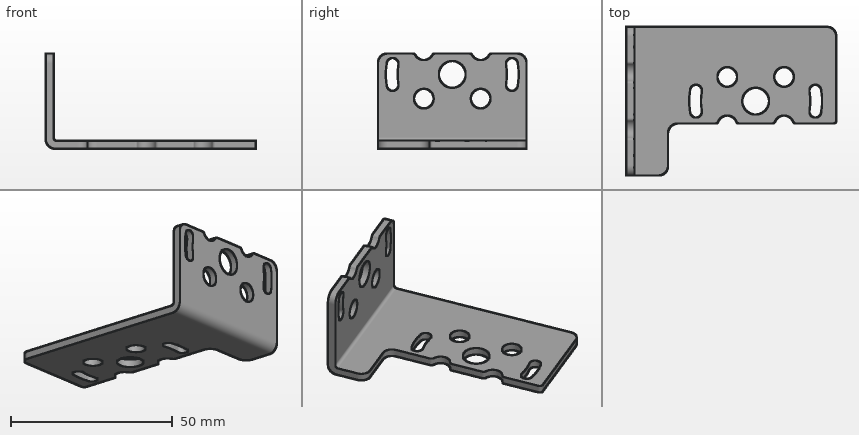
import cadquery as cq
import math

length = 65.0
width = 46.0
height = 29.5
thickness = 2.55
bend_inner_radius = 1.0
bend_outer_radius = 3.0

foot_length = 13.0
arm_edge_offset = 6.95
corner_radius = 3.0
small_corner_radius = 1.0

center_bore_diameter = 8.2
hole_diameter = 6.0
hole_half_spacing = 8.8
hole_offset = 7.5
slot_path_radius = 18.7
slot_width = 3.6
slot_half_angle = math.radians(10)

pattern_x = 40.05
pattern_z = 23.0
cut_depth = 2 * thickness


def polar_point(radius, angle):
    return radius * math.cos(angle), radius * math.sin(angle)


def curved_slot(plane, center_angle):
    """Slot that follows an arc around the plane origin."""
    inner = slot_path_radius - slot_width / 2
    outer = slot_path_radius + slot_width / 2
    start = center_angle - slot_half_angle
    end = center_angle + slot_half_angle
    cap_angle = 2 * math.asin(slot_width / 4 / slot_path_radius)
    return (
        cq.Workplane(plane)
        .moveTo(*polar_point(inner, start))
        .threePointArc(polar_point(inner, center_angle), polar_point(inner, end))
        .threePointArc(polar_point(slot_path_radius, end + cap_angle), polar_point(outer, end))
        .threePointArc(polar_point(outer, center_angle), polar_point(outer, start))
        .threePointArc(polar_point(slot_path_radius, start - cap_angle), polar_point(inner, start))
        .close()
        .extrude(cut_depth / 2, both=True)
    )


def hole_pattern(plane):
    """Cutter for the bore, holes, edge notches and slots; notches lie toward local -Y."""
    small_holes = [
        (x, y)
        for x in (-hole_half_spacing, hole_half_spacing)
        for y in (-hole_offset, hole_offset)
    ]
    cutter = cq.Workplane(plane).circle(center_bore_diameter / 2).extrude(cut_depth / 2, both=True)
    cutter = cutter.union(
        cq.Workplane(plane)
        .pushPoints(small_holes)
        .circle(hole_diameter / 2)
        .extrude(cut_depth / 2, both=True)
    )
    for center_angle in (0, math.pi):
        cutter = cutter.union(curved_slot(plane, center_angle))
    return cutter


def edges_near(body, axis, x_range, y_range, z_range):
    """Edges along an axis whose midpoints lie inside the given ranges."""
    low, high = zip(x_range, y_range, z_range)
    return body.edges("|" + axis).edges(cq.selectors.BoxSelector(low, high))


base = cq.Workplane("XY").box(length, width, thickness, centered=(False, True, False))
wall = cq.Workplane("XY").box(thickness, width, height, centered=(False, True, False))
bracket = base.union(wall)
bracket = bracket.edges("|Y and <X and <Z").fillet(bend_outer_radius)
tolerance = 0.05
bend_corner = (thickness - tolerance, thickness + tolerance)
bracket = edges_near(bracket, "Y", bend_corner, (-width, width), bend_corner).fillet(bend_inner_radius)

arm_cutout = (
    cq.Workplane("XY")
    .box(length, width, thickness, centered=False)
    .translate((foot_length, -arm_edge_offset - width, 0))
)
bracket = bracket.cut(arm_cutout)

base_z = (0, thickness)
foot_x = (foot_length - tolerance, foot_length + tolerance)
end_x = (length - tolerance, length + tolerance)
bracket = edges_near(bracket, "Z", foot_x, (-width, 0), base_z).fillet(corner_radius)
bracket = edges_near(bracket, "Z", end_x, (0, width), base_z).fillet(corner_radius)
bracket = edges_near(bracket, "Z", end_x, (-width, 0), base_z).fillet(small_corner_radius)
wall_top_z = (height - tolerance, height + tolerance)
bracket = edges_near(bracket, "X", (0, thickness), (-width, width), wall_top_z).fillet(corner_radius)

base_plane = cq.Plane(origin=(pattern_x, 0, thickness / 2), xDir=(1, 0, 0), normal=(0, 0, 1))
wall_plane = cq.Plane(origin=(thickness / 2, 0, pattern_z), xDir=(0, 1, 0), normal=(-1, 0, 0))
bracket = bracket.cut(hole_pattern(base_plane)).cut(hole_pattern(wall_plane))

notch_reach = hole_half_spacing + hole_diameter / 2
arm_edge_y = (-arm_edge_offset - tolerance, -arm_edge_offset + tolerance)
base_notch_x = (pattern_x - notch_reach, pattern_x + notch_reach)
bracket = edges_near(bracket, "Z", base_notch_x, arm_edge_y, base_z).fillet(small_corner_radius)
wall_notch_y = (-notch_reach, notch_reach)
bracket = edges_near(bracket, "X", (0, thickness), wall_notch_y, wall_top_z).fillet(small_corner_radius)

result = bracket